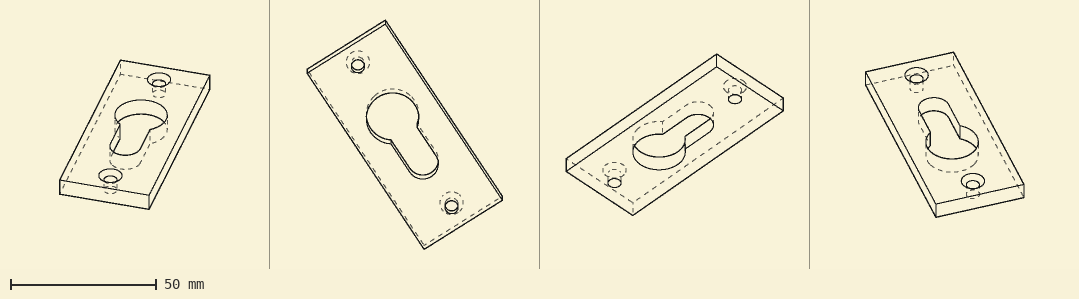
import cadquery as cq

length = 74.0
width = 32.0
thickness = 6.0

barrel_diameter = 18.0
barrel_y = 7.7
slot_width = 10.65
slot_end_y = -16.7

screw_y = 29.6
screw_diameter = 4.5
countersink_diameter = 8.0
countersink_angle = 90.0


def make_plate():
    return cq.Workplane("XY").box(width, length, thickness)


def cut_cylinder_opening(body):
    slot_radius = slot_width / 2
    slot_centre_y = slot_end_y + slot_radius
    slot_length = barrel_y - slot_centre_y
    barrel = (
        cq.Workplane("XY")
        .center(0, barrel_y)
        .circle(barrel_diameter / 2)
        .extrude(thickness, both=True)
    )
    slot = (
        cq.Workplane("XY")
        .center(0, slot_centre_y + slot_length / 2)
        .slot2D(slot_length + slot_width, slot_width, 90)
        .extrude(thickness, both=True)
    )
    return body.cut(barrel).cut(slot)


def cut_screw_holes(body):
    return (
        body.faces(">Z")
        .workplane(origin=(0, 0, 0))
        .pushPoints([(0, screw_y), (0, -screw_y)])
        .cskHole(screw_diameter, countersink_diameter, countersink_angle)
    )


result = cut_screw_holes(cut_cylinder_opening(make_plate()))